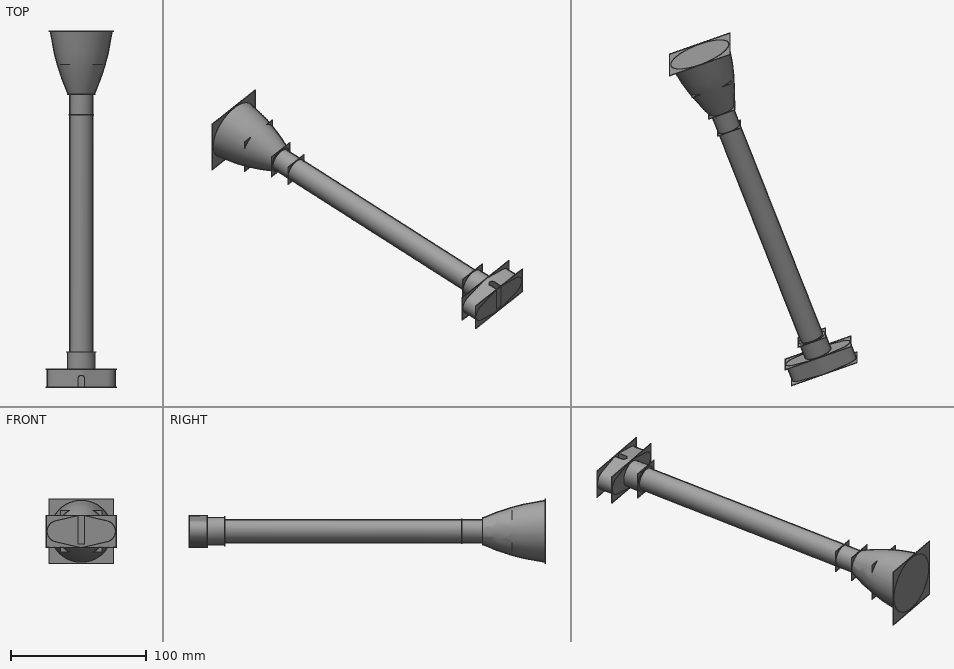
import cadquery as cq
import math

TOTAL_LENGTH = 262.5
MOUTH_Y = TOTAL_LENGTH / 2
CAP_FRONT_Y = -TOTAL_LENGTH / 2

HEAD_LENGTH = 46.5
MOUTH_RADIUS = 22.8
HEAD_MID_RADIUS = 18.0
HEAD_TIP_RADIUS = 9.7

TUBE_DIAMETER = 17.0
TUBE_RADIUS = TUBE_DIAMETER / 2
NECK_LENGTH = 15.2
COLLAR_RADIUS = 10.2
COLLAR_LENGTH = 12.9

CAP_LENGTH = 13.5
CAP_WIDTH = 50.5
CAP_HEIGHT = 23.5
CAP_END_RADIUS = 8.0

SLOT_WIDTH = 4.7
SLOT_LENGTH = 9.0
SLOT_FLOOR_THICKNESS = 2.4

FLANGE_THICKNESS = 0.13
MOUTH_FLANGE_SIDE = 47.8
MIDDLE_FLANGE_SIDE = 30.7
MIDDLE_FLANGE_DEPTH = 24.7
TIP_FLANGE_SIDE = 20.5
NECK_FLANGE_SIDE = 17.8
COLLAR_FLANGE_SIDE = 21.5
CAP_FLANGE_WIDTH = 51.7

HEAD_TIP_Y = MOUTH_Y - HEAD_LENGTH
NECK_END_Y = HEAD_TIP_Y - NECK_LENGTH
CAP_BACK_Y = CAP_FRONT_Y + CAP_LENGTH
COLLAR_TOP_Y = CAP_BACK_Y + COLLAR_LENGTH


def plane_at(y):
    """Plane square to the axis at the given y, whose extrusions grow toward +Y."""
    return cq.Workplane(cq.Plane(origin=(0, y, 0), xDir=(-1, 0, 0), normal=(0, 1, 0)))


def rod(radius, start_y, end_y):
    return plane_at(start_y).circle(radius).extrude(end_y - start_y)


def flange(width, height, start_y):
    return plane_at(start_y).rect(width, height).extrude(FLANGE_THICKNESS)


def square_flange(side, start_y):
    return flange(side, side, start_y)


def make_head():
    bell = (
        cq.Workplane("XY")
        .moveTo(0, MOUTH_Y)
        .lineTo(MOUTH_RADIUS, MOUTH_Y)
        .threePointArc(
            (HEAD_MID_RADIUS, MOUTH_Y - HEAD_LENGTH / 2),
            (HEAD_TIP_RADIUS, HEAD_TIP_Y),
        )
        .lineTo(0, HEAD_TIP_Y)
        .close()
        .revolve(axisStart=(0, 0, 0), axisEnd=(0, 1, 0))
    )
    return (
        bell.union(square_flange(MOUTH_FLANGE_SIDE, MOUTH_Y - FLANGE_THICKNESS))
        .union(square_flange(MIDDLE_FLANGE_SIDE, MOUTH_Y - MIDDLE_FLANGE_DEPTH))
        .union(square_flange(TIP_FLANGE_SIDE, HEAD_TIP_Y))
    )


def make_neck():
    neck = rod(TUBE_RADIUS, NECK_END_Y, HEAD_TIP_Y)
    return neck.union(square_flange(NECK_FLANGE_SIDE, NECK_END_Y))


def make_tube():
    return rod(TUBE_RADIUS, COLLAR_TOP_Y, NECK_END_Y)


def make_collar():
    collar = rod(COLLAR_RADIUS, CAP_BACK_Y, COLLAR_TOP_Y)
    return collar.union(square_flange(COLLAR_FLANGE_SIDE, COLLAR_TOP_Y - FLANGE_THICKNESS))


def cap_outline():
    """Outline around a large middle circle and two small end circles, joined by their tangents."""
    middle_radius = CAP_HEIGHT / 2
    end_x = CAP_WIDTH / 2 - CAP_END_RADIUS
    slope = math.asin((middle_radius - CAP_END_RADIUS) / end_x)
    middle_x = middle_radius * math.sin(slope)
    middle_z = middle_radius * math.cos(slope)
    tangent_x = end_x + CAP_END_RADIUS * math.sin(slope)
    tangent_z = CAP_END_RADIUS * math.cos(slope)
    return (
        plane_at(CAP_FRONT_Y)
        .moveTo(-middle_x, middle_z)
        .threePointArc((0, middle_radius), (middle_x, middle_z))
        .lineTo(tangent_x, tangent_z)
        .threePointArc((CAP_WIDTH / 2, 0), (tangent_x, -tangent_z))
        .lineTo(middle_x, -middle_z)
        .threePointArc((0, -middle_radius), (-middle_x, -middle_z))
        .lineTo(-tangent_x, -tangent_z)
        .threePointArc((-CAP_WIDTH / 2, 0), (-tangent_x, tangent_z))
        .close()
    )


def make_slot():
    """Cutter, round at its inner end, whose floor runs parallel to the underside of the cap."""
    prism = (
        cq.Workplane("XY", origin=(0, CAP_FRONT_Y, -CAP_HEIGHT / 2))
        .slot2D(2 * SLOT_LENGTH, SLOT_WIDTH, 90)
        .extrude(2 * CAP_HEIGHT)
    )
    raised_cap = cap_outline().extrude(CAP_LENGTH).translate((0, 0, SLOT_FLOOR_THICKNESS))
    return prism.intersect(raised_cap)


def make_cap():
    cap = cap_outline().extrude(CAP_LENGTH).cut(make_slot())
    for start_y in (CAP_FRONT_Y, CAP_BACK_Y - FLANGE_THICKNESS):
        cap = cap.union(flange(CAP_FLANGE_WIDTH, CAP_HEIGHT, start_y))
    return cap


head = make_head()
neck = make_neck()
tube = make_tube()
collar = make_collar()
cap = make_cap()

result = cq.Compound.makeCompound([head.val(), neck.val(), tube.val(), collar.val(), cap.val()])